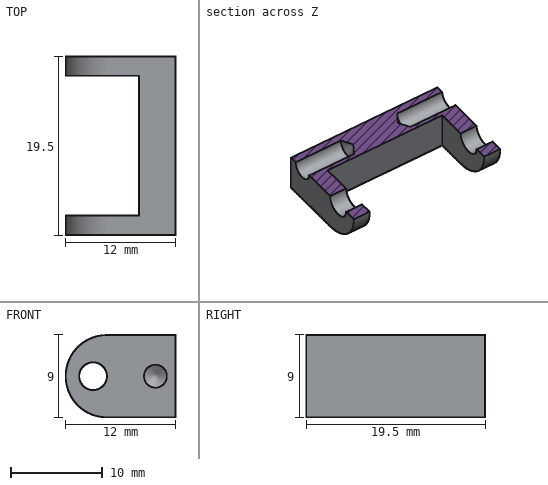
import cadquery as cq
import math

length_x = 12.0
width_y = 19.5
height_z = 9.0

web_thickness = 4.0
arm_thickness = 2.15
arm_end_radius = height_z / 2

pivot_diameter = 3.0
pivot_from_tip = 3.0

drill_diameter = 2.5
drill_from_back = 2.2
drill_depth = 6.0
drill_point_angle = 118.0

half_width = width_y / 2
half_height = height_z / 2


def make_rounded_block():
    """Solid block over the full width with a half-round front along Y."""
    return (
        cq.Workplane("XZ")
        .moveTo(length_x, -half_height)
        .lineTo(length_x, half_height)
        .lineTo(arm_end_radius, half_height)
        .threePointArc((0, 0), (arm_end_radius, -half_height))
        .close()
        .extrude(half_width, both=True)
    )


def make_gap():
    """Space between the two arms, open at the front, top and bottom."""
    gap_length = length_x - web_thickness
    gap_width = width_y - 2 * arm_thickness
    return cq.Workplane("XY").box(
        gap_length, gap_width, height_z, centered=(False, True, True)
    )


def make_pivot_bore():
    """One straight bore through both arms."""
    return (
        cq.Workplane("XZ")
        .center(pivot_from_tip, 0)
        .circle(pivot_diameter / 2)
        .extrude(half_width, both=True)
    )


def make_drilled_hole():
    """Blind hole with a conical bottom, drilled inward from the -Y face."""
    radius = drill_diameter / 2
    cone_depth = radius / math.tan(math.radians(drill_point_angle / 2))
    axis_x = length_x - drill_from_back
    shoulder_y = -half_width + drill_depth
    return (
        cq.Workplane("XY")
        .moveTo(axis_x, -half_width)
        .lineTo(axis_x + radius, -half_width)
        .lineTo(axis_x + radius, shoulder_y)
        .lineTo(axis_x, shoulder_y + cone_depth)
        .close()
        .revolve(360, (axis_x, 0, 0), (axis_x, 1, 0))
    )


drilled_hole = make_drilled_hole()

result = (
    make_rounded_block()
    .cut(make_gap())
    .cut(make_pivot_bore())
    .cut(drilled_hole)
    .cut(drilled_hole.mirror("XZ"))
)